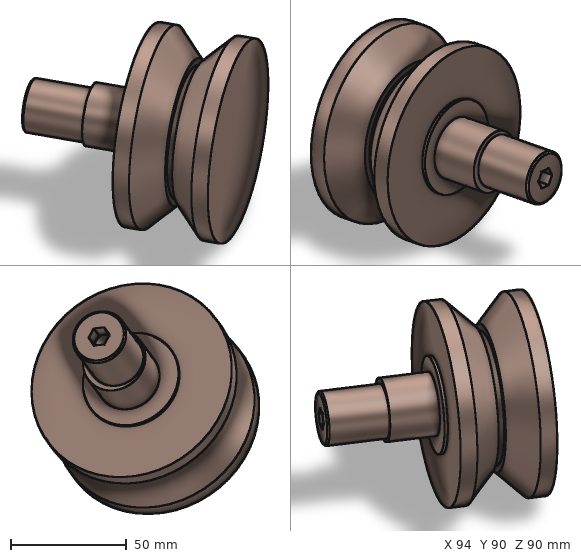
import cadquery as cq
import math

total_length = 94.0
roller_diameter = 90.0
roller_width = 43.0
rim_width = 7.4
groove_floor_width = 3.2
groove_floor_diameter = 58.8
cone_small_diameter = 64.9

washer_diameter = 43.0
washer_thickness = 1.5

collar_diameter = 28.0
collar_offset = 1.0
stud_diameter = 24.0
stud_length = 27.5
stud_chamfer = 0.8

hex_flats = 8.0
hex_depth = 8.0
drill_point_angle = 120.0

stud_end = -total_length / 2
collar_start = stud_end + stud_length
roller_end = total_length / 2
roller_start = roller_end - roller_width
washer_start = roller_start - washer_thickness


def disc(start, end, diameter, y_offset=0.0):
    """Solid cylinder along X between two stations."""
    plane = cq.Workplane("YZ", origin=(start, y_offset, 0))
    return plane.circle(diameter / 2).extrude(end - start)


def make_roller():
    """Roller with a flat-bottomed V groove around its middle."""
    middle = (roller_start + roller_end) / 2
    floor_start = middle - groove_floor_width / 2
    floor_end = middle + groove_floor_width / 2
    profile = [
        (roller_start, 0),
        (roller_start, roller_diameter / 2),
        (roller_start + rim_width, roller_diameter / 2),
        (floor_start, cone_small_diameter / 2),
        (floor_start, groove_floor_diameter / 2),
        (floor_end, groove_floor_diameter / 2),
        (floor_end, cone_small_diameter / 2),
        (roller_end - rim_width, roller_diameter / 2),
        (roller_end, roller_diameter / 2),
        (roller_end, 0),
    ]
    outline = cq.Workplane("XY").polyline(profile).close()
    return outline.revolve(360, (0, 0, 0), (1, 0, 0))


def make_hex_socket():
    """Hexagonal socket, corners along Y, ending in a drill point."""
    across_corners = hex_flats / math.cos(math.pi / 6)
    hexagon = cq.Workplane("YZ", origin=(stud_end, 0, 0)).polygon(6, across_corners)
    socket = hexagon.extrude(hex_depth)
    point_radius = hex_flats / 2
    point_length = point_radius / math.tan(math.radians(drill_point_angle / 2))
    point = cq.Solid.makeCone(
        point_radius, 0, point_length, cq.Vector(stud_end + hex_depth, 0, 0), cq.Vector(1, 0, 0)
    )
    return socket.union(cq.Workplane(obj=point))


stud = disc(stud_end, collar_start, stud_diameter).faces("<X").chamfer(stud_chamfer)
collar = disc(collar_start, washer_start, collar_diameter, collar_offset)
washer = disc(washer_start, roller_start, washer_diameter)

result = make_roller().union(washer).union(collar).union(stud).cut(make_hex_socket())